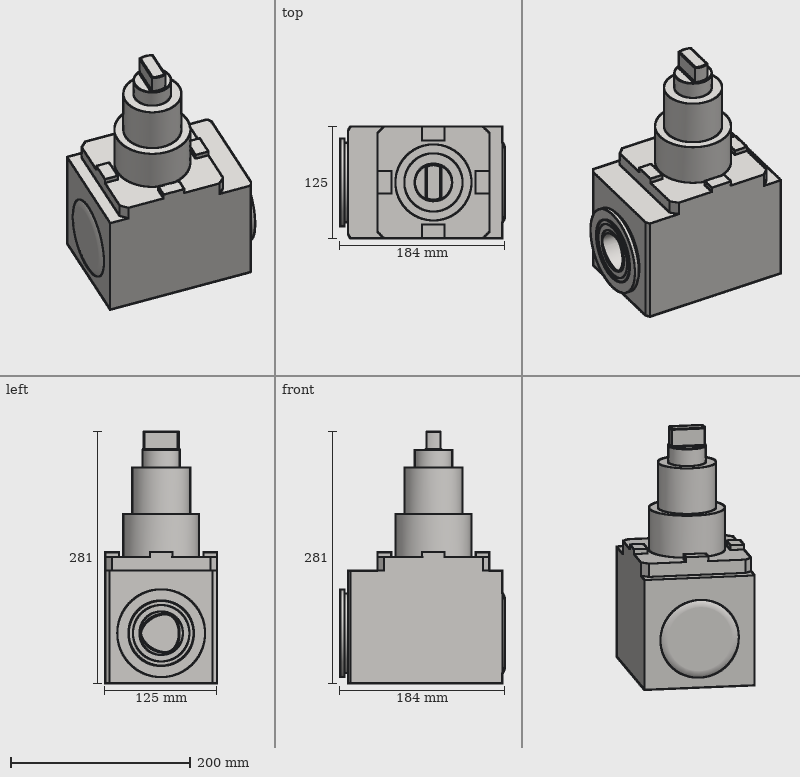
import cadquery as cq
import math

width = 125.0
block_left = -95.5
block_right = 77.0
block_top = 125.8
corner_cut_y = 5.0
corner_cut_x = corner_cut_y * math.tan(math.radians(30))

plate_top = 141.0
plate_corner_cut = 7.5
key_top = 146.5
key_width = 25.0
key_length = 15.5

shank_steps = [(84.9, 189.0), (65.0, 241.0), (42.0, 260.5)]
shank_edge = 0.4
tang_diameter = 40.0
tang_thickness = 16.0
tang_top = 281.0
tang_edge = 0.8
tang_root = 1.0

spindle_z = 56.0
flange_diameter = 98.0
flange_left = -104.0
flange_thickness = 5.0
neck_diameter = 89.0
groove_outer = 73.16
groove_inner = 72.3
groove_depth = 1.0
face_diameter = 63.0
face_recess = 0.2
mouth_diameter = 48.5
mouth_depth = 0.5

socket_mean_diameter = 44.0
socket_eccentricity = 1.4
socket_taper = 1 / 20
socket_depth = 40.0
socket_stretches = 6
stretch_angle = 2 * math.pi / socket_stretches
stretch_points = 20

cover_right = 80.0
cover_diameter = 89.0
cover_end_diameter = 73.0


def disc(x_start, x_end, diameter):
    """Cylinder on the spindle axis between two X positions."""
    plane = cq.Workplane("YZ", origin=(x_start, 0, spindle_z))
    return plane.circle(diameter / 2).extrude(x_end - x_start)


def housing():
    block = cq.Workplane("XY").box(
        block_right - block_left, width, block_top, centered=(False, True, False)
    ).translate((block_left, 0, 0))
    for side in (-1, 1):
        edge_y = side * width / 2
        corner = (
            cq.Workplane("XY")
            .moveTo(block_left, edge_y)
            .lineTo(block_left + corner_cut_x, edge_y)
            .lineTo(block_left, edge_y - side * corner_cut_y)
            .close()
            .extrude(block_top)
        )
        block = block.cut(corner)
    return block


def mounting_plate():
    plate = (
        cq.Workplane("XY", origin=(0, 0, block_top))
        .rect(width, width)
        .extrude(plate_top - block_top)
        .edges("|Z")
        .chamfer(plate_corner_cut)
    )
    for turn in range(4):
        key = (
            cq.Workplane("XY", origin=(0, 0, plate_top))
            .center((width - key_length) / 2, 0)
            .rect(key_length, key_width)
            .extrude(key_top - plate_top)
            .rotate((0, 0, 0), (0, 0, 1), 90 * turn)
        )
        plate = plate.union(key)
    return plate


def shank():
    base = plate_top
    body = cq.Workplane("XY")
    for diameter, top in shank_steps:
        step = cq.Workplane("XY", origin=(0, 0, base)).circle(diameter / 2).extrude(top - base)
        body = body.add(step)
        base = top
    return body.combine().faces(">Z").chamfer(shank_edge)


def tang():
    """Flat-sided driving tang with a sloped foot around its base."""
    shank_diameter, base = shank_steps[-1]
    base_plane = cq.Workplane("XY", origin=(0, 0, base))
    blade = (
        base_plane.circle(tang_diameter / 2)
        .extrude(tang_top - base)
        .intersect(base_plane.rect(tang_thickness, tang_diameter).extrude(tang_top - base))
        .faces(">Z")
        .chamfer(tang_edge)
    )
    foot_sides = (
        base_plane.rect(tang_thickness + 2 * tang_root, shank_diameter)
        .workplane(offset=tang_root)
        .rect(tang_thickness, shank_diameter)
        .loft(ruled=True)
    )
    foot_ends = cq.Solid.makeCone(
        shank_diameter / 2 - shank_edge, tang_diameter / 2, tang_root, cq.Vector(0, 0, base)
    )
    return blade.union(foot_sides.intersect(cq.Workplane(foot_ends)))


def lobed_wire(x, mean_diameter):
    """Closed three-lobed outline across the spindle axis at position x."""

    def point(angle):
        e = socket_eccentricity
        r = mean_diameter / 2
        y = r * math.cos(angle) - 2 * e * math.cos(2 * angle) + e * math.cos(4 * angle)
        z = r * math.sin(angle) + 2 * e * math.sin(2 * angle) + e * math.sin(4 * angle)
        return (-y, z)

    plane = cq.Workplane("YZ", origin=(x, 0, spindle_z))
    stretches = []
    for i in range(socket_stretches):
        start = stretch_angle * (i - 0.5)
        curve = plane.parametricCurve(
            lambda t: point(start + stretch_angle * t), N=stretch_points, makeWire=False
        )
        stretches.append(curve.ctx.pendingEdges.pop())
    return cq.Wire.assembleEdges(stretches)


def socket():
    start = flange_left + mouth_depth
    end_diameter = socket_mean_diameter - socket_depth * socket_taper
    wires = [
        lobed_wire(start, socket_mean_diameter),
        lobed_wire(start + socket_depth, end_diameter),
    ]
    return cq.Workplane("XY").newObject([cq.Solid.makeLoft(wires, True)])


def spindle_front():
    flange_right = flange_left + flange_thickness
    groove_end = flange_left + groove_depth
    front = disc(flange_left, flange_right, flange_diameter)
    front = front.union(disc(flange_right, block_left, neck_diameter))
    groove = disc(flange_left, groove_end, groove_outer)
    front = front.cut(groove.cut(disc(flange_left, groove_end, groove_inner)))
    front = front.cut(disc(flange_left, flange_left + face_recess, face_diameter))
    return front.cut(disc(flange_left, flange_left + mouth_depth, mouth_diameter))


def rear_cover():
    """Round cover whose edge curves smoothly into its flat end."""
    end = cover_end_diameter / 2
    return (
        cq.Workplane("XY", origin=(0, 0, spindle_z))
        .moveTo(block_right, 0)
        .lineTo(cover_right, 0)
        .lineTo(cover_right, end)
        .tangentArcPoint((block_right, cover_diameter / 2), relative=False)
        .close()
        .revolve(360, (0, 0, 0), (1, 0, 0))
    )


result = housing().union(mounting_plate()).union(shank()).union(tang())
result = result.union(spindle_front()).union(rear_cover())
result = result.cut(socket())